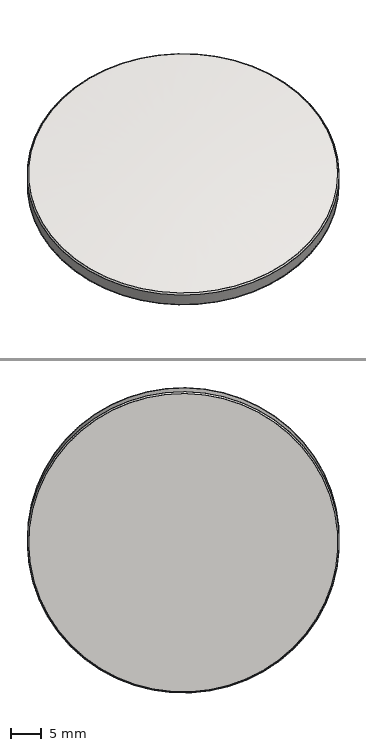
import cadquery as cq
import math

diameter = 50.8
center_thickness = 3.94
edge_thickness = 3.0
bevel = 0.25

rim_radius = diameter / 2
face_radius = rim_radius - bevel
sag = center_thickness - edge_thickness
curvature_radius = (face_radius**2 + sag**2) / (2 * sag)


def dome_height(distance):
    """Height of the convex face at a distance from the optical axis."""
    drop = curvature_radius - math.sqrt(curvature_radius**2 - distance**2)
    return center_thickness - drop


def lens_half_section():
    """Section in the XZ plane, from the optical axis out to the rim."""
    mid_radius = face_radius / 2
    return (
        cq.Workplane("XZ")
        .lineTo(face_radius, 0)
        .lineTo(rim_radius, bevel)
        .lineTo(rim_radius, edge_thickness - bevel)
        .lineTo(face_radius, edge_thickness)
        .threePointArc((mid_radius, dome_height(mid_radius)), (0, center_thickness))
        .close()
    )


result = lens_half_section().revolve(360, (0, 0, 0), (0, 1, 0))